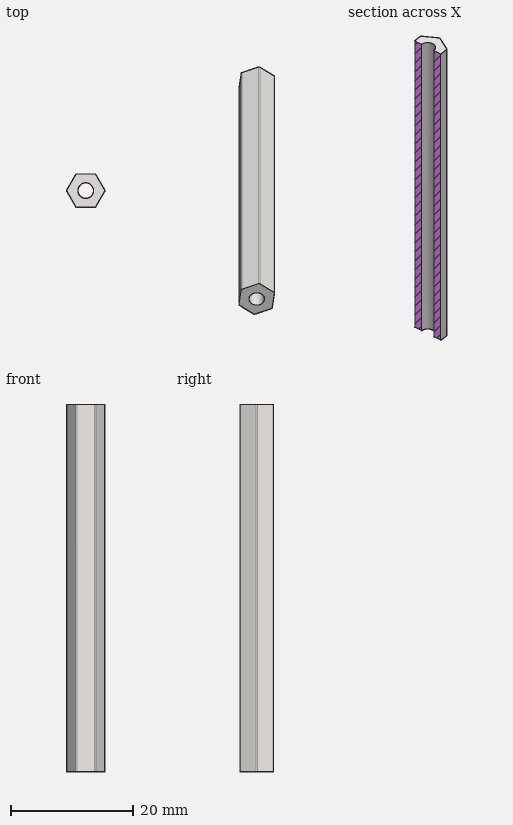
import cadquery as cq
import math

ACROSS_FLATS = 5.5
LENGTH = 60.0
BORE_DIAMETER = 2.5
EDGE_RADIUS = 0.25

HEX_SIDES = 6
ACROSS_CORNERS = ACROSS_FLATS / math.cos(math.pi / HEX_SIDES)


def hex_body():
    """Hexagonal bar along Z, corners on the X axis, long edges rounded."""
    bar = cq.Workplane("XY").polygon(HEX_SIDES, ACROSS_CORNERS).extrude(LENGTH)
    return bar.edges("|Z").fillet(EDGE_RADIUS)


def drill_bore(body):
    """Plain hole through the full length of the bar."""
    return body.faces(">Z").workplane().hole(BORE_DIAMETER)


result = drill_bore(hex_body())